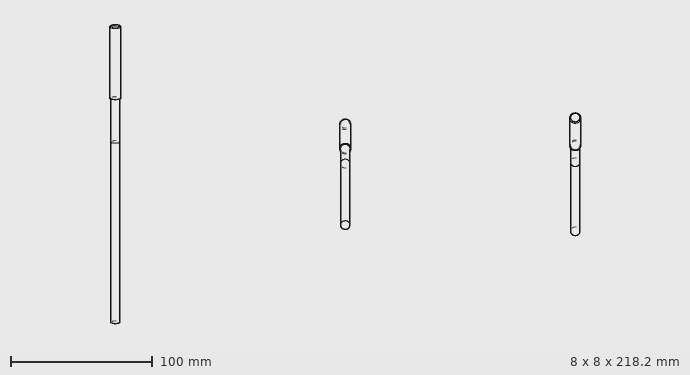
import cadquery as cq
import math

total_length = 218.2

shank_diameter = 8.0
shank_length = 53.0
shank_chamfer = 0.8

cutting_diameter = 6.6
neck_length = 32.0

point_angle = 140.0
point_length = cutting_diameter / 2 / math.tan(math.radians(point_angle / 2))

shank_bottom = total_length - shank_length
joint_height = shank_bottom - neck_length


def revolve_about_z(profile):
    """Turn a list of (radius, height) points into a solid of revolution around Z."""
    return cq.Workplane("XZ").polyline(profile).close().revolve(360, (0, 0), (0, 1))


def make_holder():
    """Shank with its chamfered top end and the neck below it."""
    shank_radius = shank_diameter / 2
    neck_radius = cutting_diameter / 2
    return revolve_about_z([
        (0, joint_height),
        (neck_radius, joint_height),
        (neck_radius, shank_bottom),
        (shank_radius, shank_bottom),
        (shank_radius, total_length - shank_chamfer),
        (shank_radius - shank_chamfer, total_length),
        (0, total_length),
    ])


def make_cutter():
    """Cutting section that butts against the neck and ends in a conical point."""
    cutter_radius = cutting_diameter / 2
    return revolve_about_z([
        (0, 0),
        (cutter_radius, point_length),
        (cutter_radius, joint_height),
        (0, joint_height),
    ])


holder = make_holder()
cutter = make_cutter()

result = cq.Compound.makeCompound([holder.val(), cutter.val()])